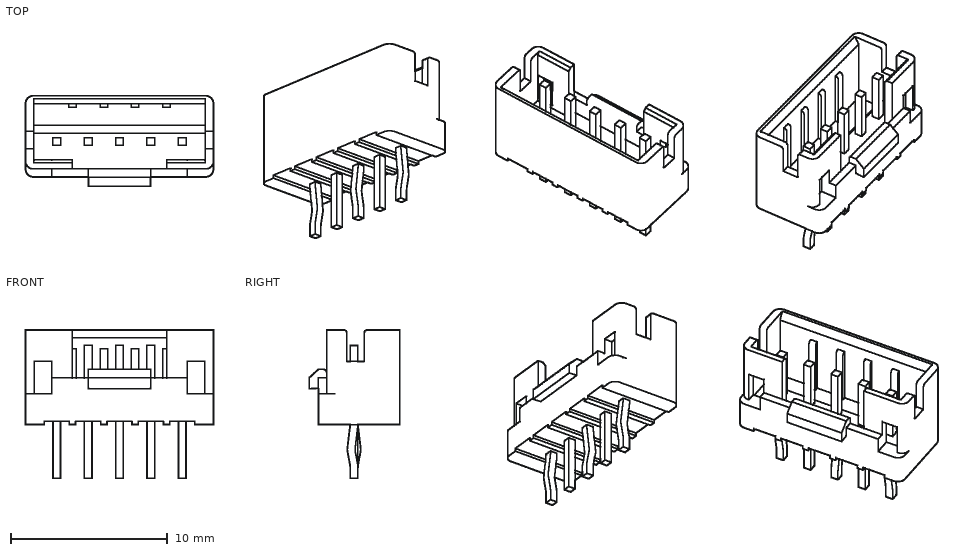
import cadquery as cq


housing_length = 12.0
housing_height = 6.05
wall_thickness = 0.52
corner_radius = 0.52
back_y = 2.93
shell_front_y = -1.75
base_front_y = -2.27
base_height = 1.97

cavity_half_length = housing_length / 2 - wall_thickness
cavity_back_y = back_y - wall_thickness
cavity_front_y = -1.18
back_floor_z = 1.03
front_floor_z = 1.74
floor_slope_front_y = 0.53
floor_slope_back_y = 1.05
back_lead_in_width = 0.31
back_lead_in_height = 0.5
front_lead_in = 0.19

front_notch_length = 6.0
window_outer_x = 5.42
window_inner_x = 4.32
opening_z = 4.05
side_slot_back_y = 0.65
side_slot_front_y = -0.45
side_slot_radius = 0.2

rail_top_z = 2.99
hook_length = 3.98
hook_front_y = -2.87
hook_top_z = 3.54
hook_tip_bottom_z = 2.28
hook_root_bottom_z = 2.32
hook_back_radius = 0.2

rib_width = 0.48
rib_depth = 0.23
rib_top_z = 4.84
rib_top_radius = 0.2

pin_count = 5
pin_pitch = housing_length / (pin_count + 1)
pin_width = 0.5
pin_top_z = 5.06
pin_bottom_z = -3.42
kink_offset = 0.19
kink_peak_z = -1.61
kink_end_z = -2.64
kink_peak_radius = 0.66
kink_end_radius = 1.2

groove_width = 1.58
groove_depth = 0.2


def box(x_range, y_range, z_range):
    """Box spanning the given (low, high) ranges."""
    lows, highs = zip(x_range, y_range, z_range)
    size = [high - low for low, high in zip(lows, highs)]
    return cq.Workplane("XY").box(*size, centered=False).translate(lows)


def centered(length):
    """Range of the given length, symmetric about zero."""
    return (-length / 2, length / 2)


def extrude_profile(points, length):
    """Extrude a (Y, Z) outline along X, centered on X = 0."""
    return cq.Workplane("YZ").polyline(points).close().extrude(length / 2, both=True)


def row_positions(count):
    """X places of a centered row at the pin pitch."""
    return [(i - (count - 1) / 2) * pin_pitch for i in range(count)]


def make_housing():
    """Solid housing: wide base, set-back shell and the front rail."""
    length = centered(housing_length)
    base = box(length, (base_front_y, back_y), (0, base_height)).edges("|Z").fillet(corner_radius)
    shell = box(length, (shell_front_y, back_y), (0, housing_height)).edges("|Z").fillet(corner_radius)
    rail = box(centered(2 * window_inner_x), (base_front_y, shell_front_y), (0, rail_top_z))
    return base.union(shell).union(rail)


def make_cavity():
    """Cavity with a stepped floor and lead-ins along the back and front walls."""
    profile = [
        (cavity_front_y, front_floor_z),
        (floor_slope_front_y, front_floor_z),
        (floor_slope_back_y, back_floor_z),
        (cavity_back_y, back_floor_z),
        (cavity_back_y, housing_height - back_lead_in_height),
        (cavity_back_y + back_lead_in_width, housing_height),
        (cavity_front_y - front_lead_in, housing_height),
        (cavity_front_y, housing_height - front_lead_in),
    ]
    return extrude_profile(profile, 2 * cavity_half_length)


def make_front_openings():
    """Central notch in the front wall and a window near each end."""
    openings = box(
        centered(front_notch_length),
        (shell_front_y, cavity_front_y),
        (front_floor_z, housing_height),
    )
    for x_range in [(-window_outer_x, -window_inner_x), (window_inner_x, window_outer_x)]:
        window = box(x_range, (base_front_y, cavity_front_y), (base_height, opening_z))
        openings = openings.union(window)
    return openings


def make_side_slots():
    """Slot through both end walls, flaring out into rounded upper corners."""
    r = side_slot_radius
    profile = (
        cq.Workplane("YZ")
        .moveTo(side_slot_front_y, opening_z)
        .lineTo(side_slot_back_y, opening_z)
        .lineTo(side_slot_back_y, housing_height - r)
        .radiusArc((side_slot_back_y + r, housing_height), r)
        .lineTo(side_slot_front_y - r, housing_height)
        .radiusArc((side_slot_front_y, housing_height - r), r)
        .close()
    )
    return profile.extrude(housing_length / 2, both=True)


def make_hook():
    """Latch hook overhanging the front rail, rounded along its back top edge."""
    profile = [
        (shell_front_y, hook_root_bottom_z),
        (shell_front_y, hook_top_z),
        (base_front_y, hook_top_z),
        (hook_front_y, rail_top_z),
        (hook_front_y, hook_tip_bottom_z),
        (base_front_y, hook_root_bottom_z),
    ]
    hook = extrude_profile(profile, hook_length)
    return hook.edges(">Z").edges(">Y").fillet(hook_back_radius)


def make_rib():
    """Rib standing on the cavity floor, rounded at its front top edge."""
    rib_front_y = cavity_back_y - rib_depth
    rib = box(centered(rib_width), (rib_front_y, cavity_back_y), (back_floor_z, rib_top_z))
    return rib.edges("<Y and >Z").fillet(rib_top_radius)


def make_straight_pin():
    """Square pin."""
    return box(centered(pin_width), centered(pin_width), (pin_bottom_z, pin_top_z))


def make_kinked_pin(direction):
    """Pin whose tail bows sideways in Y; direction is +1 or -1."""
    half = pin_width / 2
    shift = direction * kink_offset
    centerline = [(0, pin_top_z), (0, 0), (shift, kink_peak_z), (0, kink_end_z), (0, pin_bottom_z)]
    back_side = [(y + half, z) for y, z in centerline]
    front_side = [(y - half, z) for y, z in reversed(centerline)]
    pin = extrude_profile(back_side + front_side, pin_width)
    bends = [(shift, kink_peak_z, kink_peak_radius), (0, kink_end_z, kink_end_radius)]
    for bend_y, bend_z, radius in bends:
        for side in (-half, half):
            bend_edge = cq.selectors.NearestToPointSelector((0, bend_y + side, bend_z))
            pin = pin.edges("|X").edges(bend_edge).fillet(radius)
    return pin


def make_groove():
    """Relief groove across the full depth of the mounting face."""
    return box(centered(groove_width), (base_front_y, back_y), (0, groove_depth))


result = make_housing().cut(make_cavity()).cut(make_front_openings()).cut(make_side_slots())
result = result.union(make_hook())

for x in row_positions(pin_count - 1):
    result = result.union(make_rib().translate((x, 0, 0)))

for x in row_positions(pin_count):
    result = result.cut(make_groove().translate((x, 0, 0)))

pins = [
    make_kinked_pin(-1),
    make_straight_pin(),
    make_kinked_pin(1),
    make_straight_pin(),
    make_kinked_pin(-1),
]
for x, pin in zip(row_positions(pin_count), pins):
    result = result.union(pin.translate((x, 0, 0)))